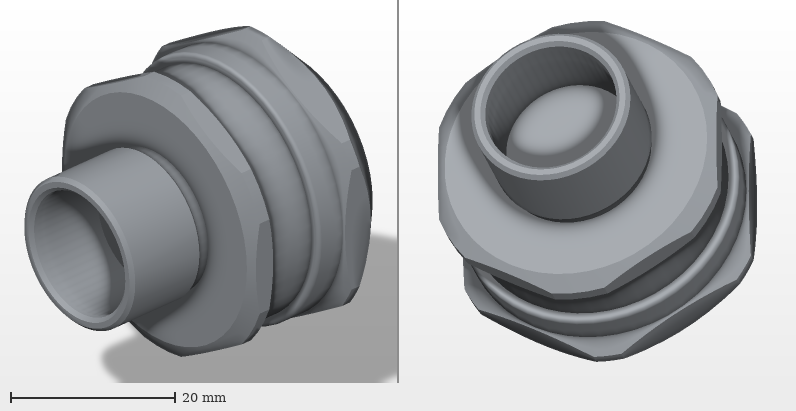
import cadquery as cq
import math


TUBE_DIAMETER = 20.0
TUBE_NECK_DIAMETER = 19.0
TUBE_BORE_DIAMETER = 16.5
TUBE_NECK_START = 11.6
TUBE_CHAMFER = 0.5
TUBE_BORE_DEPTH = 11.0

FRONT_HEX_START = 13.0
FRONT_HEX_THICKNESS = 4.0
FRONT_HEX_ACROSS_FLATS = 35.0
FRONT_HEX_CORNER_DIAMETER = 37.2

BODY_DIAMETER = 33.0
COLLAR_DIAMETER = 35.5
COLLAR_LENGTH = 4.0
COLLAR_FILLET = 0.5

REAR_HEX_LENGTH = 8.0
REAR_HEX_ACROSS_FLATS = 36.0
REAR_HEX_CORNER_DIAMETER = 39.7
REAR_FACE_DIAMETER = 28.8
REAR_RECESS_DIAMETER = 26.5
REAR_RECESS_DEPTH = 0.5

HEX_CHAMFER_ANGLE = 30.0
REAR_TAPER_ANGLE = 45.0
TOTAL_LENGTH = 35.71

FRONT_HEX_END = FRONT_HEX_START + FRONT_HEX_THICKNESS
REAR_HEX_START = TOTAL_LENGTH - REAR_HEX_LENGTH
COLLAR_START = REAR_HEX_START - COLLAR_LENGTH


def cone_length(small_diameter, large_diameter, angle):
    """Axial length of a cone whose side leans by angle from a flat end face."""
    return (large_diameter - small_diameter) / 2 * math.tan(math.radians(angle))


def revolve_profile(points):
    """Solid of revolution about Y from (diameter, y) points, closed along the axis."""
    outline = [(diameter / 2, y) for diameter, y in points]
    closed = [(0, points[0][1])] + outline + [(0, points[-1][1])]
    return cq.Workplane("XY").polyline(closed).close().revolve(360, (0, 0, 0), (0, 1, 0))


def cylinder(diameter, start, end):
    return revolve_profile([(diameter, start), (diameter, end)])


def hex_prism(across_flats, start, end):
    """Hexagonal prism along Y with flats facing +X and -X."""
    across_corners = across_flats / math.cos(math.radians(30))
    prism = cq.Workplane("XY").polygon(6, across_corners).extrude(end - start)
    prism = prism.rotate((0, 0, 0), (0, 0, 1), 90)
    return prism.rotate((0, 0, 0), (1, 0, 0), -90).translate((0, start, 0))


def make_tube():
    chamfered_diameter = TUBE_DIAMETER - 2 * TUBE_CHAMFER
    return revolve_profile([
        (chamfered_diameter, 0),
        (TUBE_DIAMETER, TUBE_CHAMFER),
        (TUBE_DIAMETER, TUBE_NECK_START - (TUBE_DIAMETER - TUBE_NECK_DIAMETER) / 2),
        (TUBE_NECK_DIAMETER, TUBE_NECK_START),
        (TUBE_NECK_DIAMETER, FRONT_HEX_START),
    ])


def make_front_hex():
    chamfer = cone_length(BODY_DIAMETER, FRONT_HEX_CORNER_DIAMETER, HEX_CHAMFER_ANGLE)
    envelope = revolve_profile([
        (BODY_DIAMETER, FRONT_HEX_START),
        (FRONT_HEX_CORNER_DIAMETER, FRONT_HEX_START + chamfer),
        (FRONT_HEX_CORNER_DIAMETER, FRONT_HEX_END - chamfer),
        (BODY_DIAMETER, FRONT_HEX_END),
    ])
    return envelope.intersect(hex_prism(FRONT_HEX_ACROSS_FLATS, FRONT_HEX_START, FRONT_HEX_END))


def make_body():
    core = cylinder(BODY_DIAMETER, FRONT_HEX_END, COLLAR_START)
    collar = cylinder(COLLAR_DIAMETER, COLLAR_START, REAR_HEX_START)
    return core.union(collar.faces("<Y").edges().fillet(COLLAR_FILLET))


def make_rear_hex():
    chamfer = cone_length(COLLAR_DIAMETER, REAR_HEX_CORNER_DIAMETER, HEX_CHAMFER_ANGLE)
    taper = cone_length(REAR_FACE_DIAMETER, REAR_HEX_CORNER_DIAMETER, REAR_TAPER_ANGLE)
    envelope = revolve_profile([
        (COLLAR_DIAMETER, REAR_HEX_START),
        (REAR_HEX_CORNER_DIAMETER, REAR_HEX_START + chamfer),
        (REAR_HEX_CORNER_DIAMETER, TOTAL_LENGTH - taper),
        (REAR_FACE_DIAMETER, TOTAL_LENGTH),
    ])
    return envelope.intersect(hex_prism(REAR_HEX_ACROSS_FLATS, REAR_HEX_START, TOTAL_LENGTH))


def make_tube_bore():
    """Blind bore of the tube with a chamfered mouth."""
    return revolve_profile([
        (TUBE_BORE_DIAMETER + 2 * TUBE_CHAMFER, 0),
        (TUBE_BORE_DIAMETER, TUBE_CHAMFER),
        (TUBE_BORE_DIAMETER, TUBE_BORE_DEPTH),
    ])


def make_rear_recess():
    return cylinder(REAR_RECESS_DIAMETER, TOTAL_LENGTH - REAR_RECESS_DEPTH, TOTAL_LENGTH)


result = (
    make_tube()
    .union(make_front_hex())
    .union(make_body())
    .union(make_rear_hex())
    .cut(make_tube_bore())
    .cut(make_rear_recess())
)